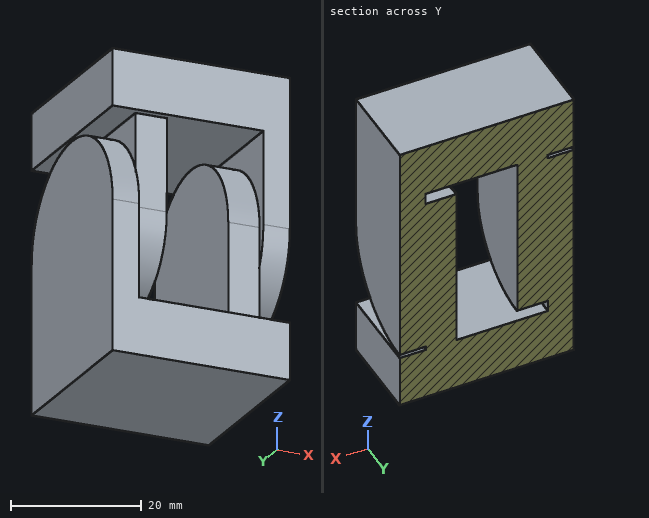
import cadquery as cq

width = 30.0
height = 50.0

plate_thickness = 9.5
outer_ear_thickness = 4.5
inner_ear_thickness = 5.3
outer_ear_radius = width / 2
inner_ear_radius = 13.6

half_height = height / 2
half_width = width / 2


def make_ear(x_start, thickness, radius):
    """Ear standing on the lower plate, rounded about the pivot axis at its top."""
    return (
        cq.Workplane("YZ", origin=(x_start, 0, 0))
        .moveTo(-radius, -half_height)
        .lineTo(-radius, 0)
        .threePointArc((0, radius), (radius, 0))
        .lineTo(radius, -half_height)
        .close()
        .extrude(thickness)
    )


def make_lower_half():
    """Plate with an outer ear on the -X side and an inner ear on the +X side."""
    plate = cq.Workplane("XY", origin=(0, 0, -half_height)).rect(width, width).extrude(plate_thickness)
    outer_ear = make_ear(-half_width, outer_ear_thickness, outer_ear_radius)
    inner_ear_start = half_width - outer_ear_thickness - inner_ear_thickness
    inner_ear = make_ear(inner_ear_start, inner_ear_thickness, inner_ear_radius)
    return plate.union(outer_ear).union(inner_ear)


lower_half = make_lower_half()
upper_half = lower_half.rotate((0, 0, 0), (0, 1, 0), 180)
result = lower_half.union(upper_half)